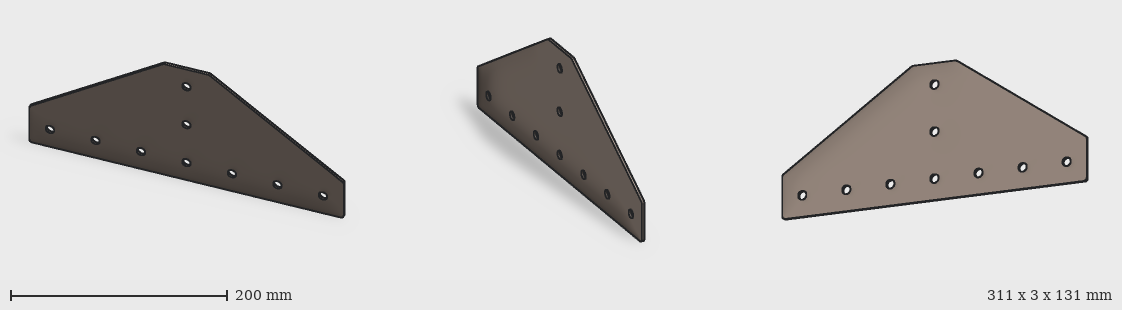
import cadquery as cq

length = 311.0
thickness = 3.0
corner_radius = 3.0

edge_margin = 20.5
row_count = 7
column_count = 3
hole_diameter = 8.5
pitch = (length - 2 * edge_margin) / (row_count - 1)

height = 2 * edge_margin + (column_count - 1) * pitch
half_length = length / 2
top_half_width = 22.5
side_height = 42.0
base_z = -height / 2
top_z = height / 2
shoulder_z = base_z + side_height


def make_plate():
    """Plate in the XZ plane, centred on the origin, with rounded corners."""
    outline = [
        (-half_length, base_z),
        (half_length, base_z),
        (half_length, shoulder_z),
        (top_half_width, top_z),
        (-top_half_width, top_z),
        (-half_length, shoulder_z),
    ]
    plate = cq.Workplane("XZ").polyline(outline).close().extrude(thickness / 2, both=True)
    return plate.edges("|Y").fillet(corner_radius)


def hole_centres():
    """Base row, then the rest of the middle column above it."""
    row_z = base_z + edge_margin
    row = [(-half_length + edge_margin + i * pitch, row_z) for i in range(row_count)]
    column = [(0, row_z + i * pitch) for i in range(1, column_count)]
    return row + column


def make_holes():
    """Cylinders that pass right through the plate."""
    circles = cq.Workplane("XZ").pushPoints(hole_centres()).circle(hole_diameter / 2)
    return circles.extrude(thickness, both=True)


result = make_plate().cut(make_holes())